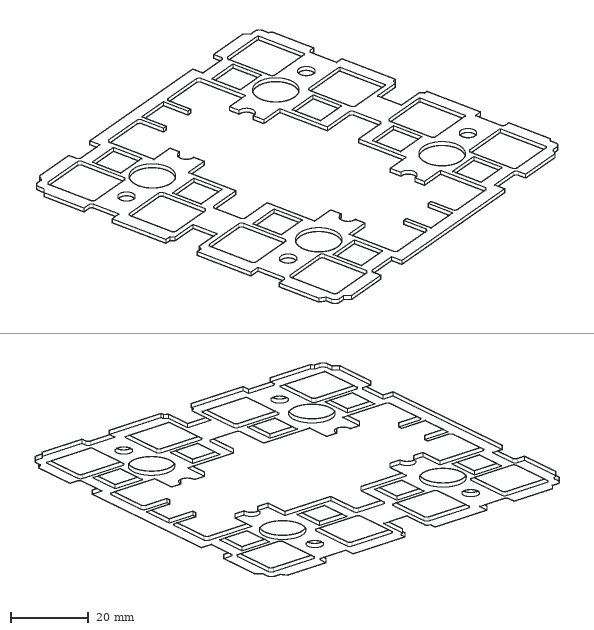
import cadquery as cq

plate_size = 100.0
half_size = plate_size / 2
top_trim = 0.75
thickness = 1.2
inner_radius = 0.9

corner_step_edge = 44.0
corner_step_root = 45.2
corner_land = 48.4
corner_radius = 1.5

notch_near = 22.25
notch_far = 31.25
side_notch_floor = 46.75
end_notch_floor = 47.0

slot_half_width = 3.85
slot_floor = 39.85
mouth_half_width = 5.0
mouth_flare_start = 47.6
mouth_flare_end = 48.3

outer_window_x = (31.25, 46.35)
inner_window_x = (5.4, 20.25)
large_window_y = (31.65, 45.9)
top_window_limit = 45.5

small_window_size = 9.1
small_window_near_x = 12.85
small_window_far_x = 38.6
small_window_y = 25.8

screw_diameter = 4.5
screw_x = 25.9
screw_y = 38.85
scallop_y = 13.0
round_window_diameter = 12.0
round_window_offset = 26.65

opening_half_width = outer_window_x[1]
opening_half_height = 19.75
bay_half_width = 5.0
bay_half_height = 30.0
post_near = inner_window_x[1]
post_far = outer_window_x[0]
post_tip = 12.85
rib_near = 4.65
rib_far = 5.9
rib_tip = 38.5

QUADRANTS = [(sx, sy) for sx in (1, -1) for sy in (1, -1)]


def block(x_range, y_range, sx=1, sy=1):
    """Full-thickness box between two X and two Y limits, mirrored by the signs."""
    width = x_range[1] - x_range[0]
    height = y_range[1] - y_range[0]
    center_x = sx * sum(x_range) / 2
    center_y = sy * sum(y_range) / 2
    return cq.Workplane("XY").center(center_x, center_y).rect(width, height).extrude(thickness)


def round_corner(cutter, x, y, sx=1, sy=1):
    """Round the vertical edge of a cutter that stands at the given mirrored point."""
    reach = inner_radius / 2
    low = (sx * x - reach, sy * y - reach, -reach)
    high = (sx * x + reach, sy * y + reach, thickness + reach)
    return cutter.edges("|Z").edges(cq.selectors.BoxSelector(low, high)).fillet(inner_radius)


def disc(x, y, diameter):
    return cq.Workplane("XY").center(x, y).circle(diameter / 2).extrude(thickness)


def make_sheet():
    """Square sheet with a stepped, rounded land at each corner."""
    land = (
        cq.Workplane("XY").rect(2 * corner_land, 2 * corner_land).extrude(thickness)
        .edges("|Z").fillet(corner_radius)
    )
    step_points = [
        (half_size, corner_step_edge),
        (corner_land, corner_step_root),
        (corner_step_root, corner_step_root),
        (corner_step_root, corner_land),
        (corner_step_edge, half_size),
    ]
    outline = []
    for sx, sy in ((1, 1), (-1, 1), (-1, -1), (1, -1)):
        corner = [(sx * x, sy * y) for x, y in step_points]
        if sx != sy:
            corner.reverse()
        outline += corner
    return cq.Workplane("XY").polyline(outline).close().extrude(thickness).union(land)


def make_central_opening():
    """Cross-shaped opening with four posts and four thin ribs reaching into it."""
    opening = block((-opening_half_width, opening_half_width), (-opening_half_height, opening_half_height))
    opening = opening.union(block((-bay_half_width, bay_half_width), (-bay_half_height, bay_half_height)))
    for sx, sy in QUADRANTS:
        opening = opening.cut(block((post_near, post_far), (post_tip, opening_half_height), sx, sy))
        opening = opening.cut(block((rib_tip, opening_half_width), (rib_near, rib_far), sx, sy))
    for sx, sy in QUADRANTS:
        opening = round_corner(opening, opening_half_width, opening_half_height, sx, sy)
        opening = round_corner(opening, opening_half_width, rib_far, sx, sy)
        opening = round_corner(opening, bay_half_width, bay_half_height, sx, sy)
    return opening


def make_end_slot(sy):
    half_outline = [
        (slot_half_width, slot_floor),
        (slot_half_width, mouth_flare_start),
        (mouth_half_width, mouth_flare_end),
        (mouth_half_width, half_size),
    ]
    right = [(x, sy * y) for x, y in half_outline]
    left = [(-x, y) for x, y in reversed(right)]
    return cq.Workplane("XY").polyline(right + left).close().extrude(thickness)


def make_end_notch(sx, sy):
    notch = block((notch_near, notch_far), (end_notch_floor, half_size), sx, sy)
    return round_corner(notch, notch_far, end_notch_floor, sx, sy)


def make_side_notch(sx, sy):
    notch = block((side_notch_floor, half_size), (notch_near, notch_far), sx, sy)
    return round_corner(notch, side_notch_floor, notch_far, sx, sy)


def make_large_window(x_range, sx, sy):
    """Large window with rounded corners; beside the trimmed edge its far side is cut square."""
    window = block(x_range, large_window_y, sx, sy).edges("|Z").fillet(inner_radius)
    if sy > 0:
        window = window.intersect(block(x_range, (large_window_y[0], top_window_limit), sx))
    return window


def make_small_window(center_x, sx, sy):
    return (
        cq.Workplane("XY").center(sx * center_x, sy * small_window_y)
        .rect(small_window_size, small_window_size).extrude(thickness)
    )


result = make_sheet().cut(make_central_opening())

for sy in (1, -1):
    result = result.cut(make_end_slot(sy))

for sx, sy in QUADRANTS:
    result = result.cut(make_end_notch(sx, sy))
    result = result.cut(make_side_notch(sx, sy))
    for x_range in (inner_window_x, outer_window_x):
        result = result.cut(make_large_window(x_range, sx, sy))
    for center_x in (small_window_near_x, small_window_far_x):
        result = result.cut(make_small_window(center_x, sx, sy))
    result = result.cut(disc(sx * screw_x, sy * screw_y, screw_diameter))
    result = result.cut(disc(sx * screw_x, sy * scallop_y, screw_diameter))
    result = result.cut(disc(sx * round_window_offset, sy * round_window_offset, round_window_diameter))

result = result.cut(block((-half_size, half_size), (half_size - top_trim, half_size)))